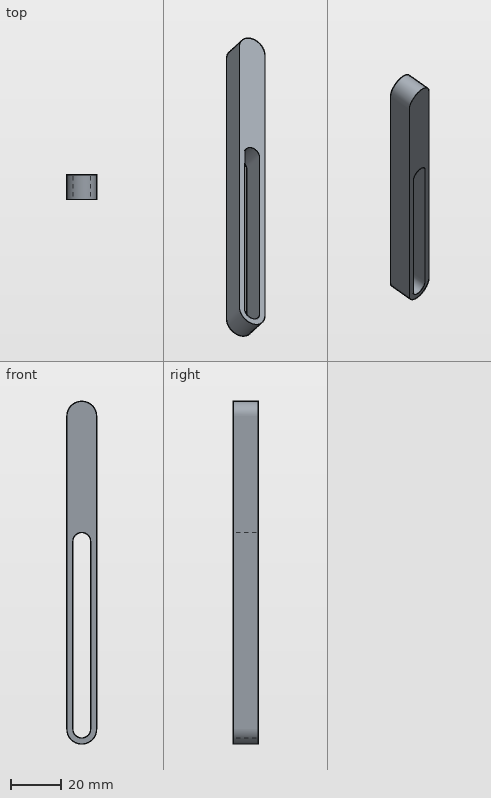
import cadquery as cq

length = 137.0
width = 12.0
depth = 10.0
slot_width = 7.0
slot_length = 82.0

wall = (width - slot_width) / 2
slot_center_z = -length / 2 + wall + slot_length / 2


def upright_stadium(overall_length, overall_width, center_z):
    """Round-ended prism standing along Z, centred on the XZ plane and spanning the part's depth."""
    return (
        cq.Workplane("XZ")
        .center(0, center_z)
        .slot2D(overall_length, overall_width, angle=90)
        .extrude(depth / 2, both=True)
    )


bar = upright_stadium(length, width, 0)
slot = upright_stadium(slot_length, slot_width, slot_center_z)

result = bar.cut(slot)